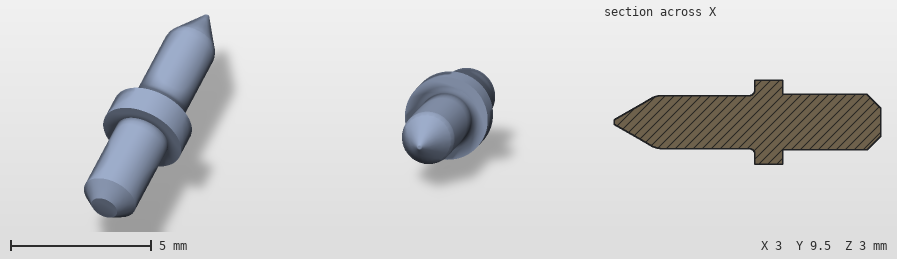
import cadquery as cq
import math

total_length = 9.5
tail_length = 3.5
tail_radius = 1.0
tail_chamfer = 0.5
flange_radius = 1.5
flange_width = 1.0
pin_radius = 0.95
root_fillet = 0.2
cone_half_angle = math.radians(30)
shoulder_radius = 0.6
tip_flat_radius = 0.05
tip_rounding = 0.06

tail_end = -total_length / 2
flange_back = tail_end + tail_length
flange_front = flange_back + flange_width
tip_end = total_length / 2


def arc_point(centre, radius, angle):
    """Point on an arc, with the angle measured from the radial direction toward +Y."""
    return (centre[0] + radius * math.cos(angle), centre[1] + radius * math.sin(angle))


tip_centre = (tip_flat_radius, tip_end - tip_rounding)
cone_top = arc_point(tip_centre, tip_rounding, cone_half_angle)
shoulder_centre_radius = pin_radius - shoulder_radius
cone_base_radius = shoulder_centre_radius + shoulder_radius * math.cos(cone_half_angle)
cone_base_y = cone_top[1] - (cone_base_radius - cone_top[0]) / math.tan(cone_half_angle)
shoulder_y = cone_base_y - shoulder_radius * math.sin(cone_half_angle)
shoulder_centre = (shoulder_centre_radius, shoulder_y)
root_centre = (pin_radius + root_fillet, flange_front + root_fillet)

profile = (
    cq.Workplane("XY")
    .moveTo(0, tail_end)
    .lineTo(tail_radius - tail_chamfer, tail_end)
    .lineTo(tail_radius, tail_end + tail_chamfer)
    .lineTo(tail_radius, flange_back)
    .lineTo(flange_radius, flange_back)
    .lineTo(flange_radius, flange_front)
    .lineTo(root_centre[0], flange_front)
    .threePointArc(
        arc_point(root_centre, root_fillet, math.radians(225)),
        (pin_radius, root_centre[1]),
    )
    .lineTo(pin_radius, shoulder_y)
    .threePointArc(
        arc_point(shoulder_centre, shoulder_radius, cone_half_angle / 2),
        (cone_base_radius, cone_base_y),
    )
    .lineTo(*cone_top)
    .threePointArc(
        arc_point(tip_centre, tip_rounding, (cone_half_angle + math.pi / 2) / 2),
        (tip_flat_radius, tip_end),
    )
    .lineTo(0, tip_end)
    .close()
)

result = profile.revolve(360, (0, 0, 0), (0, 1, 0))